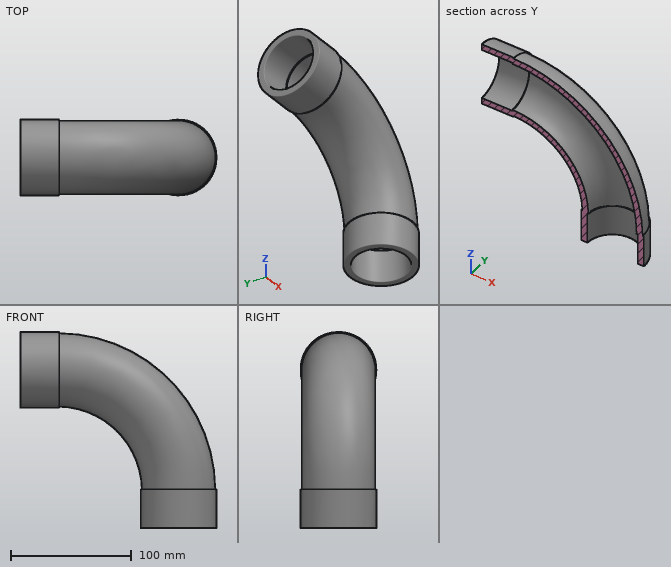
import cadquery as cq


overall_length = 162.5
socket_outer_diameter = 63.0
socket_bore_diameter = 50.0
socket_length = 32.0
socket_bore_depth = 31.0
pipe_outer_diameter = 61.0
pipe_bore_diameter = 48.0
rim_radius = 0.5

bend_radius = overall_length - socket_bore_depth - socket_outer_diameter / 2
socket_overlap = socket_length - socket_bore_depth

inlet_plane = cq.Plane(origin=(0, 0, 0), xDir=(0, 1, 0), normal=(-1, 0, 0))
outlet_plane = cq.Plane(origin=(bend_radius, 0, -bend_radius), xDir=(1, 0, 0), normal=(0, 0, -1))


def quarter_bend(diameter):
    """Solid quarter torus joining the two sockets."""
    axis_start = (0, -bend_radius)
    axis_end = (1, -bend_radius)
    return (
        cq.Workplane("YZ")
        .circle(diameter / 2)
        .revolve(90, axis_start, axis_end)
    )


def socket_body(plane):
    """Solid socket cylinder, rounded on both outer rims."""
    return (
        cq.Workplane(plane)
        .workplane(offset=-socket_overlap)
        .circle(socket_outer_diameter / 2)
        .extrude(socket_length)
        .edges()
        .fillet(rim_radius)
    )


def socket_bore(plane):
    """Void of one socket bore, widening to a rounded mouth at the open end."""
    bore_radius = socket_bore_diameter / 2
    mouth_start = socket_bore_depth - rim_radius
    profile = (
        cq.Workplane(plane)
        .transformed(rotate=(90, 0, 0))
        .moveTo(0, 0)
        .lineTo(bore_radius, 0)
        .lineTo(bore_radius, mouth_start)
        .tangentArcPoint((bore_radius + rim_radius, socket_bore_depth), relative=False)
        .lineTo(0, socket_bore_depth)
        .close()
    )
    return profile.revolve(360, (0, 0), (0, 1))


socket_planes = (inlet_plane, outlet_plane)

body = quarter_bend(pipe_outer_diameter)
for socket_plane in socket_planes:
    body = body.union(socket_body(socket_plane))

body = body.cut(quarter_bend(pipe_bore_diameter))
for socket_plane in socket_planes:
    body = body.cut(socket_bore(socket_plane))

result = body